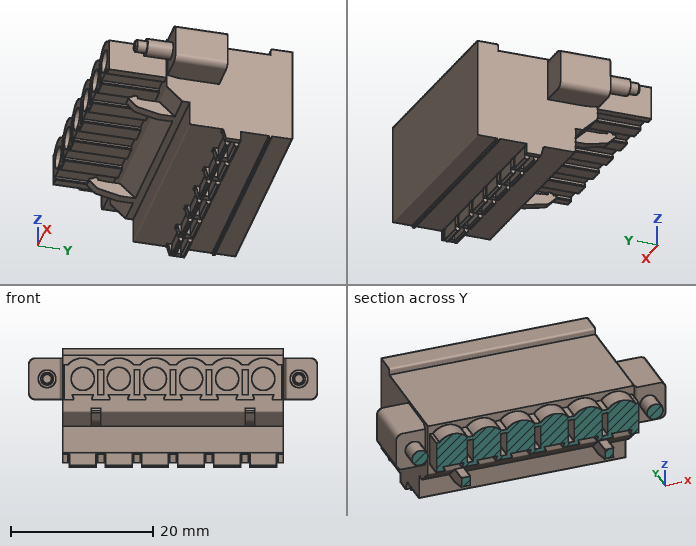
import cadquery as cq


pole_count = 6
pitch = 5.1
pole_centers = [(i - (pole_count - 1) / 2) * pitch for i in range(pole_count)]
gap_centers = [x + pitch / 2 for x in pole_centers[:-1]]
row_end = pole_count * pitch / 2
foot_centers = [-row_end, *gap_centers, row_end]

overall_width = 40.65
housing_width = 31.1
housing_depth = 18.3
ridge_top = 14.67
ridge_depth = 3.15
ridge_height = 0.98
ridge_fillet = 0.33
deck_top = ridge_top - ridge_height
lower_front = 3.35
undercut_top = 5.77
undercut_bottom = 3.7
undercut_run = 2.25
lip_fillet = 0.33
base_fillet = 0.2

plug_width = 30.55
plug_length = 8.35
plug_bottom = 7.48
plug_top = 13.35
crown_rise = 0.98
crown_half_width = 2.1
socket_diameter = 3.25
socket_depth = 0.98
slit_width = 0.8
slit_bottom = 8.15
slit_top = 11.7
notch_top_half = 1.5
notch_neck_half = 1.25
notch_mouth_half = 1.35
notch_neck_rise = 0.15

flange_depth = 7.6
flange_fillet = 0.98
relief_width = 0.4
relief_depth = 1.7
relief_edge_fillet = 0.25
screw_x = 17.7
screw_diameter = 2.48
screw_length = 3.65
tip_diameter = 1.75
tip_length = 1.63
tip_chamfer = 0.25

latch_x = 10.8
latch_width = 1.35
latch_reach = 4.5
latch_nose_z = 5.6
latch_nose_blunt = 0.1
latch_nose_top = 5.95
latch_level_reach = 2.0
hook_base_y = -3.13
hook_base_z = 5.9
hook_top = 6.25
hook_rear_y = -3.35
hook_front_y = -3.65
hook_foot_y = -4.1
latch_belly_end = (-3.13, 4.4)
latch_belly_middle = (-3.37, 4.5)
latch_chin = (-3.58, 4.67)

bead_y = 15.08
bead_width = 0.5
bead_height = 0.3
foot_width = 0.98
foot_back = 10.75
foot_front = 8.15
foot_taper = 0.45
foot_root_chamfer = 0.2
foot_height = 1.42
blade_width = 3.78
front_blade_y = 8.75
front_blade_thickness = 0.55
front_blade_height = 2.0
front_blade_chamfer = 0.2
rear_blade_y = 10.05
rear_blade_thickness = 0.65
rear_blade_height = 2.05
rear_blade_point = 0.3

screw_z = (plug_bottom + plug_top) / 2


def extrude_along_x(profile, center_x, width):
    """Turn a closed YZ profile into a solid centred on center_x."""
    return profile.extrude(width / 2, both=True).translate((center_x, 0, 0))


def make_housing():
    """Main body with the raised rear ridge and the undercut front."""
    profile = cq.Workplane("YZ").polyline([
        (housing_depth, 0),
        (housing_depth, ridge_top),
        (housing_depth - ridge_depth, ridge_top),
        (housing_depth - ridge_depth, deck_top),
        (0, deck_top),
        (0, undercut_top),
        (undercut_run, undercut_bottom),
        (lower_front, undercut_bottom),
        (lower_front, 0),
    ]).close()
    body = extrude_along_x(profile, 0, housing_width)

    def edge_at(y, z):
        return cq.selectors.NearestToPointSelector((0, y, z))

    body = body.edges(edge_at(housing_depth - ridge_depth, ridge_top)).fillet(ridge_fillet)
    body = body.edges(edge_at(0, undercut_top)).fillet(lip_fillet)
    return body.edges("<Z and |X").fillet(base_fillet)


def make_plug():
    """Row of crowned sockets standing out from the housing front."""
    shoulder = plug_top - crown_rise
    outline = cq.Workplane("XZ").moveTo(-plug_width / 2, plug_bottom).lineTo(-plug_width / 2, shoulder)
    for x in pole_centers:
        outline = outline.lineTo(x - crown_half_width, shoulder)
        outline = outline.threePointArc((x, plug_top), (x + crown_half_width, shoulder))
    outline = outline.lineTo(plug_width / 2, shoulder).lineTo(plug_width / 2, plug_bottom)
    plug = outline.close().extrude(plug_length)

    sockets = (
        cq.Workplane("XZ", origin=(0, -plug_length, screw_z))
        .pushPoints([(x, 0) for x in pole_centers])
        .circle(socket_diameter / 2)
        .extrude(-socket_depth)
    )
    slits = (
        cq.Workplane("XZ", origin=(0, 0, (slit_bottom + slit_top) / 2))
        .pushPoints([(x, 0) for x in gap_centers])
        .rect(slit_width, slit_top - slit_bottom)
        .extrude(plug_length)
    )
    plug = plug.cut(sockets).cut(slits)
    for x in pole_centers:
        plug = plug.cut(make_notch(x))
    return plug


def make_notch(x):
    """Undercut groove running along the bottom of one socket."""
    neck_z = plug_bottom + notch_neck_rise
    return (
        cq.Workplane("XZ")
        .polyline([
            (x - notch_mouth_half, plug_bottom),
            (x - notch_neck_half, neck_z),
            (x - notch_top_half, slit_bottom),
            (x + notch_top_half, slit_bottom),
            (x + notch_neck_half, neck_z),
            (x + notch_mouth_half, plug_bottom),
        ])
        .close()
        .extrude(plug_length)
    )


def make_flange():
    """Right-hand flange with a tapered relief beside the housing, and its screw."""
    inner = housing_width / 2
    outer = overall_width / 2
    flange = (
        cq.Workplane("XY", origin=(0, 0, plug_bottom))
        .polyline([
            (inner, flange_depth),
            (outer, flange_depth),
            (outer, 0),
            (inner + relief_width, 0),
            (inner, relief_depth),
        ])
        .close()
        .extrude(plug_top - plug_bottom)
    )
    flange = flange.edges("|Y and >X").fillet(flange_fillet)
    relief_edge = cq.selectors.NearestToPointSelector((inner + relief_width, 0, screw_z))
    flange = flange.edges(relief_edge).fillet(relief_edge_fillet)

    shank = cq.Workplane("XZ", origin=(screw_x, 0, screw_z)).circle(screw_diameter / 2).extrude(screw_length)
    tip = (
        cq.Workplane("XZ", origin=(screw_x, -screw_length, screw_z))
        .circle(tip_diameter / 2)
        .extrude(tip_length)
        .faces("<Y").chamfer(tip_chamfer)
    )
    return flange.union(shank).union(tip)


def make_latch(x):
    """Forward-reaching latch arm with a hooked nose; it merges into the undercut."""
    profile = (
        cq.Workplane("YZ")
        .moveTo(undercut_run, undercut_bottom)
        .lineTo(0, undercut_bottom)
        .lineTo(*latch_belly_end)
        .threePointArc(latch_belly_middle, latch_chin)
        .lineTo(-latch_reach, latch_nose_z)
        .lineTo(latch_nose_blunt - latch_reach, latch_nose_top)
        .lineTo(hook_foot_y, latch_nose_top)
        .lineTo(hook_front_y, hook_top)
        .lineTo(hook_rear_y, hook_top)
        .lineTo(hook_base_y, hook_base_z)
        .lineTo(-latch_level_reach, undercut_top)
        .lineTo(0, undercut_top)
        .lineTo(undercut_run, undercut_top)
        .close()
    )
    return extrude_along_x(profile, x, latch_width)


def make_bead():
    """Small tapered bead along the rear of the underside."""
    profile = cq.Workplane("YZ").polyline([
        (bead_y - bead_width / 2, 0),
        (bead_y - bead_width / 4, -bead_height),
        (bead_y + bead_width / 4, -bead_height),
        (bead_y + bead_width / 2, 0),
    ]).close()
    return extrude_along_x(profile, 0, housing_width)


def make_foot(x):
    """Tapered foot between two poles, trimmed flush with the housing at either end."""
    left = max(x - foot_width / 2, -housing_width / 2)
    right = min(x + foot_width / 2, housing_width / 2)
    profile = cq.Workplane("YZ").polyline([
        (foot_back, 0),
        (foot_back, -foot_height),
        (foot_front + foot_taper, -foot_height),
        (foot_front + foot_root_chamfer / 2, -foot_root_chamfer),
        (foot_front - foot_root_chamfer / 2, 0),
    ]).close()
    return extrude_along_x(profile, (left + right) / 2, right - left)


def make_front_blade(x):
    """Thin hanging blade with a chamfered tip under one pole."""
    back_y = front_blade_y + front_blade_thickness
    profile = cq.Workplane("YZ").polyline([
        (front_blade_y, 0),
        (front_blade_y, front_blade_chamfer - front_blade_height),
        (front_blade_y + front_blade_chamfer, -front_blade_height),
        (back_y - front_blade_chamfer, -front_blade_height),
        (back_y, front_blade_chamfer - front_blade_height),
        (back_y, 0),
    ]).close()
    return extrude_along_x(profile, x, blade_width)


def make_rear_blade(x):
    """Thin hanging blade with a pointed tip, behind the front blade."""
    back_y = rear_blade_y + rear_blade_thickness
    profile = cq.Workplane("YZ").polyline([
        (rear_blade_y, 0),
        (rear_blade_y, rear_blade_point - rear_blade_height),
        ((rear_blade_y + back_y) / 2, -rear_blade_height),
        (back_y, rear_blade_point - rear_blade_height),
        (back_y, 0),
    ]).close()
    return extrude_along_x(profile, x, blade_width)


right_flange = make_flange()
result = make_housing().union(make_plug())
result = result.union(right_flange).union(right_flange.mirror("YZ"))
for latch_center in (-latch_x, latch_x):
    result = result.union(make_latch(latch_center))
result = result.union(make_bead())
for foot_center in foot_centers:
    result = result.union(make_foot(foot_center))
for pole_x in pole_centers:
    result = result.union(make_front_blade(pole_x)).union(make_rear_blade(pole_x))